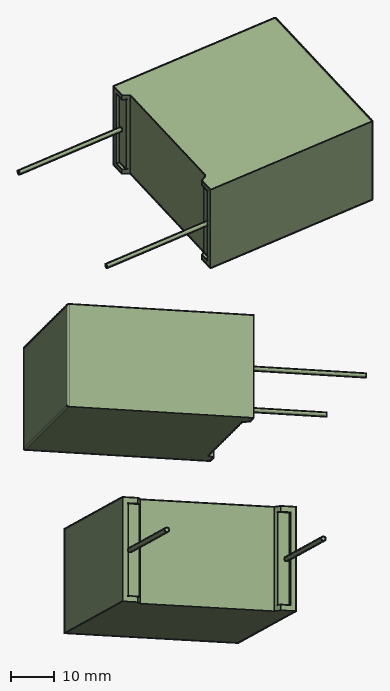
import cadquery as cq

overall_length = 71.1
case_width = 41.8
case_height = 24.3
case_length = 44.15
back_fillet = 0.5

foot_height = 1.6
foot_tip_width = 3.7
foot_base_width = 4.75

wall = 1.35
recess_depth = foot_height / 2

lead_diameter = 1.1
lead_inset = 2.05

half_width = case_width / 2
back_y = overall_length / 2
foot_y = back_y - case_length
face_y = foot_y + foot_height
recess_y = foot_y + recess_depth
lead_end_y = -overall_length / 2
inner_height = case_height - 2 * wall
flank_run = foot_base_width - foot_tip_width
recess_edge = foot_tip_width + flank_run * recess_depth / foot_height
recess_width = recess_edge - wall


def block(x_center, width, y_start, y_end, height):
    """Block centred on Z = 0, spanning y_start to y_end."""
    return (
        cq.Workplane("XY")
        .box(width, y_end - y_start, height)
        .translate((x_center, (y_start + y_end) / 2, 0))
    )


def foot_columns(y_start, y_end):
    """Pair of mirrored blocks with the outline of the foot recesses."""
    center = half_width - wall - recess_width / 2
    columns = cq.Workplane("XY")
    for side in (-1, 1):
        columns = columns.union(block(side * center, recess_width, y_start, y_end, inner_height))
    return columns


def make_potting():
    """Core filling the case, with a column rising into each foot."""
    core_front_y = face_y + wall
    core = block(0, case_width - 2 * wall, core_front_y, back_y - wall, inner_height)
    return core.union(foot_columns(recess_y, core_front_y))


def make_case(potting):
    """Box with two sloped feet, hollowed for the potting and the recesses."""
    outline = [
        (-half_width, back_y),
        (-half_width, foot_y),
        (-half_width + foot_tip_width, foot_y),
        (-half_width + foot_base_width, face_y),
        (half_width - foot_base_width, face_y),
        (half_width - foot_tip_width, foot_y),
        (half_width, foot_y),
        (half_width, back_y),
    ]
    shell = cq.Workplane("XY").polyline(outline).close().extrude(case_height / 2, both=True)
    shell = shell.faces(">Y").edges().fillet(back_fillet)
    return shell.cut(potting).cut(foot_columns(foot_y, recess_y))


def make_lead(side):
    """Straight wire standing on the potting in one foot."""
    return (
        cq.Workplane("XZ", origin=(side * (half_width - lead_inset), recess_y, 0))
        .circle(lead_diameter / 2)
        .extrude(recess_y - lead_end_y)
    )


potting = make_potting()
case = make_case(potting)
leads = [make_lead(side) for side in (-1, 1)]

bodies = [case.solids().val(), potting.solids().val(), *[lead.val() for lead in leads]]
result = cq.Compound.makeCompound(bodies)